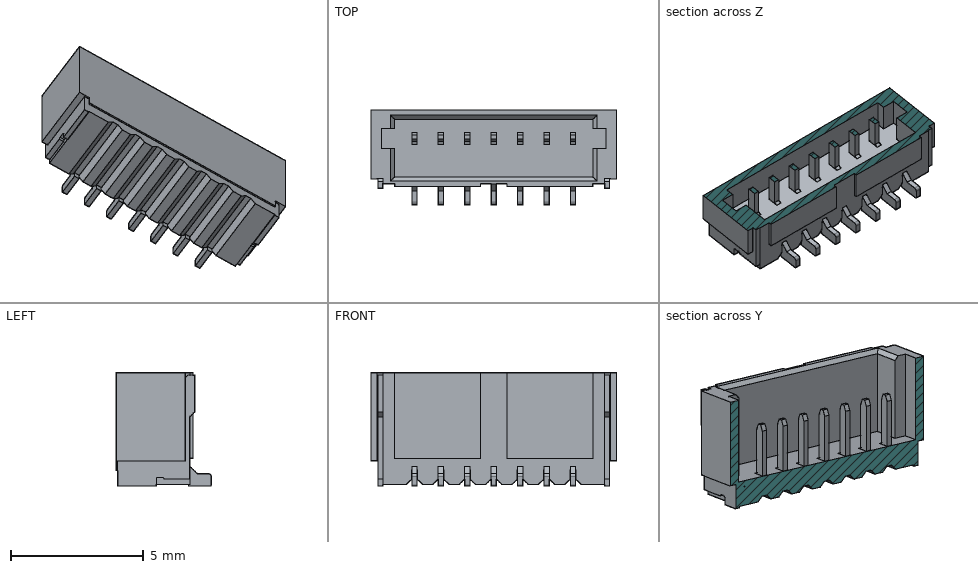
import cadquery as cq


height = 4.3
cheek_outer_x = 4.65
cheek_front_y = -2.62
cheek_bottom_z = 0.96
body_side_x = 4.19
body_front_y = -2.8
body_bottom_z = 0.06
back_step_depth = 0.06
back_step_z = 0.59

pad_inner_x = 0.49
pad_outer_x = 3.75
pad_bottom_z = 1.05
pad_thickness = 0.11

cavity_half_x = 3.75
cavity_back_y = -0.36
cavity_front_y = -2.54
cavity_floor_z = 1.05
rim_chamfer = 0.16
key_half_x = 4.25
key_back_y = -0.7
key_front_y = -1.46

contact_count = 7
contact_span = 6.0
pitch = contact_span / (contact_count - 1)
contact_width = 0.2
contact_front_y = -3.6
foot_top_z = 0.47
foot_top_radius = 0.1
foot_bottom_radius = 0.05
foot_rear_y = -2.73
web_top_z = 0.74
web_end_y = -3.07
pin_back_y = -0.86
pin_front_y = -1.2
pin_top_z = 3.06
tip_run = 0.1
tip_drop = 0.22
heel_run = 0.12
heel_rise = 0.06

relief_half_width = 0.11
relief_top_z = 0.6
groove_half_width = 0.32
groove_top_z = 0.25

slot_outer_x = 4.42
slot_back_y = -2.6
tab_outer_x = 4.39
tab_front_y = -2.98
tab_setback = 0.02
tab_top_z = 4.2
tab_top_bevel = 0.11
tab_head_bottom_z = 2.81
tab_leg_front_y = -1.52
tab_lower_edge_z = 0.28
tab_step_rise = 0.06
tab_step_front_y = -1.76

contact_xs = [i * pitch - contact_span / 2 for i in range(contact_count)]


def block(x0, x1, y0, y1, z0, z1):
    """Box between the given lower and upper limits on each axis."""
    return cq.Workplane("XY").box(x1 - x0, y1 - y0, z1 - z0, centered=False).translate((x0, y0, z0))


def plate(profile, x0, x1):
    """Slab from x0 to x1 with the given outline in the YZ plane."""
    return profile.extrude(x1 - x0).translate((x0, 0, 0))


def mirrored(solid):
    """The solid together with its mirror image across X = 0."""
    return solid.union(solid.mirror("YZ"))


def make_housing():
    body = block(-body_side_x, body_side_x, body_front_y, 0, body_bottom_z, height)
    cheeks = block(-cheek_outer_x, cheek_outer_x, cheek_front_y, 0, cheek_bottom_z, height)
    back_step = block(-body_side_x, body_side_x, -back_step_depth, 0, body_bottom_z, back_step_z)
    pad = block(pad_inner_x, pad_outer_x, body_front_y - pad_thickness, body_front_y, pad_bottom_z, height)
    tab_slot = block(body_side_x, slot_outer_x, cheek_front_y, slot_back_y, cheek_bottom_z, height)
    return body.union(cheeks).cut(back_step).union(mirrored(pad)).cut(mirrored(tab_slot))


def make_cavity():
    well = block(-cavity_half_x, cavity_half_x, cavity_front_y, cavity_back_y, cavity_floor_z, height)
    key = block(-key_half_x, key_half_x, key_front_y, key_back_y, cavity_floor_z, height)
    rim = (
        cq.Workplane("XY", origin=(0, (cavity_back_y + cavity_front_y) / 2, height))
        .rect(2 * (cavity_half_x + rim_chamfer), cavity_back_y - cavity_front_y + 2 * rim_chamfer)
        .extrude(-rim_chamfer, taper=45)
    )
    return well.union(key).union(rim)


def make_relief(x):
    """V groove along the underside and a shallow slot up the front wall, as deep as the foot is set in."""
    groove = (
        cq.Workplane("XZ")
        .polyline([
            (x - groove_half_width, body_bottom_z),
            (x - relief_half_width, groove_top_z),
            (x + relief_half_width, groove_top_z),
            (x + groove_half_width, body_bottom_z),
        ])
        .close()
        .extrude(-body_front_y)
    )
    slot = block(
        x - relief_half_width, x + relief_half_width,
        body_front_y, foot_rear_y,
        body_bottom_z, relief_top_z,
    )
    return groove.union(slot)


def make_contact(x):
    """Foot that leaves through the front wall, and the pin that stands on the cavity floor."""
    x0 = x - contact_width / 2
    x1 = x + contact_width / 2
    web_slope = (web_top_z - foot_top_z) / (body_front_y - web_end_y)
    web_rise = web_slope * (foot_rear_y - body_front_y)
    foot = plate(
        cq.Workplane("YZ")
        .moveTo(foot_rear_y, 0)
        .lineTo(contact_front_y + foot_bottom_radius, 0)
        .radiusArc((contact_front_y, foot_bottom_radius), foot_bottom_radius)
        .lineTo(contact_front_y, foot_top_z - foot_top_radius)
        .radiusArc((contact_front_y + foot_top_radius, foot_top_z), foot_top_radius)
        .lineTo(web_end_y, foot_top_z)
        .lineTo(foot_rear_y, web_top_z + web_rise)
        .close(),
        x0, x1,
    )
    pin = plate(
        cq.Workplane("YZ")
        .polyline([
            (pin_back_y, cavity_floor_z),
            (pin_back_y, pin_top_z - tip_drop),
            (pin_back_y - tip_run, pin_top_z),
            (pin_front_y + tip_run, pin_top_z),
            (pin_front_y, pin_top_z - tip_drop),
            (pin_front_y, cavity_floor_z + heel_rise),
            (pin_front_y - heel_run, cavity_floor_z),
        ])
        .close(),
        x0, x1,
    )
    return foot.union(pin)


def make_tab():
    """Upright solder tab on the +X end, with a leg at the back and a thicker head at the top."""
    stem_front_y = body_front_y + tab_setback
    head_step = stem_front_y - tab_front_y
    step_top_z = tab_lower_edge_z + tab_step_rise
    profile = (
        cq.Workplane("YZ")
        .moveTo(-back_step_depth, 0)
        .lineTo(tab_leg_front_y, 0)
        .lineTo(tab_leg_front_y, tab_lower_edge_z)
        .radiusArc((tab_leg_front_y - tab_step_rise, step_top_z), -tab_step_rise)
        .lineTo(tab_step_front_y, step_top_z)
        .lineTo(tab_step_front_y - tab_step_rise, tab_lower_edge_z)
        .lineTo(stem_front_y, tab_lower_edge_z)
        .lineTo(stem_front_y, tab_head_bottom_z - head_step)
        .lineTo(tab_front_y, tab_head_bottom_z)
        .lineTo(tab_front_y, tab_top_z)
        .lineTo(slot_back_y - tab_top_bevel, tab_top_z)
        .lineTo(slot_back_y, tab_top_z - tab_top_bevel)
        .lineTo(slot_back_y, cheek_bottom_z)
        .lineTo(-back_step_depth, cheek_bottom_z)
        .close()
    )
    return plate(profile, body_side_x, tab_outer_x)


result = make_housing().cut(make_cavity())
for contact_x in contact_xs:
    result = result.cut(make_relief(contact_x)).union(make_contact(contact_x))
result = result.union(mirrored(make_tab()))